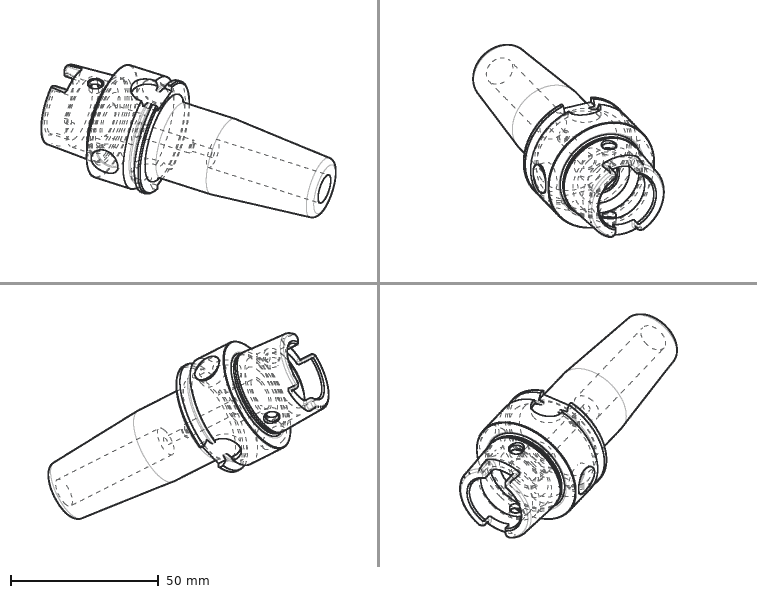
import cadquery as cq
import math

LENGTH = 99.9

TAPER_LENGTH = 17.9
TAPER_MOUTH_RADIUS = 14.2
TAPER_SLOPE = 0.05
TAPER_END_RADIUS = TAPER_MOUTH_RADIUS + TAPER_LENGTH * TAPER_SLOPE
MOUTH_FILLET = 0.8
NECK_RADIUS = 14.8
NECK_START = 18.8
NECK_END = 19.5
FACE_RELIEF_DEPTH = 0.1
FACE_RELIEF_INNER_RADIUS = 15.5
FACE_RELIEF_OUTER_RADIUS = 16.1

FLANGE_START = 20.0
FLANGE_END = 40.0
FLANGE_RADIUS = 20.0
FLANGE_FRONT_CHAMFER = 0.2
FLANGE_REAR_CHAMFER = 0.5
GROOVE_START = 33.9
GROOVE_FLOOR_START = 35.0
GROOVE_FLOOR_END = 36.6
GROOVE_END = 38.1
GROOVE_RADIUS = 17.3
GROOVE_FILLET = 0.5

NOSE_RADIUS = 13.5
NOSE_BLEND_LENGTH = 3.0
NOSE_BLEND_RADIUS = 3.2
NOSE_TAPER_START = 61.8
NOSE_TAPER_ANGLE = 4.5
NOSE_END_RADIUS = NOSE_RADIUS - (LENGTH - NOSE_TAPER_START) * math.tan(math.radians(NOSE_TAPER_ANGLE))
NOSE_END_FILLET = 2.0

CAVITY_MOUTH_RADIUS = 10.4
CAVITY_MOUTH_CHAMFER = 0.6
CAVITY_FLOOR_RADIUS = 9.8
CAVITY_DEPTH = 18.5
UNDERCUT_RADIUS = 12.5
UNDERCUT_START = 7.8
UNDERCUT_FULL = 9.0
UNDERCUT_END = 16.5

TUBE_BORE_RADIUS = 5.5
TUBE_BORE_CHAMFER = 0.5
TUBE_BORE_END = 30.0
SCREW_BORE_RADIUS = 2.3
SCREW_BORE_CHAMFER = 0.4
SCREW_BORE_END = 49.95
COOLANT_HOLE_RADIUS = 1.4
COOLANT_HOLE_CHAMFER = 0.3
TOOL_BORE_RADIUS = 5.0
TOOL_BORE_START = 57.9

DRIVE_SLOT_WIDTH = 8.0
DRIVE_SLOT_SHOULDER = 12.8
DRIVE_SLOT_CORNER = 1.6
DRIVE_SLOT_END_FILLET = 0.7
UPPER_SLOT_DEPTH = 6.0
LOWER_SLOT_DEPTH = 3.3

ACCESS_HOLE_X = 13.9
ACCESS_HOLE_RADIUS = 2.3
ACCESS_HOLE_CHAMFER = 0.5

CHIP_X = 26.9
CHIP_RADIUS = 5.0
CHIP_DEPTH = 4.2
CHIP_FLOOR_FILLET = 0.3

KEYWAY_START = 27.9
KEYWAY_WIDTH = 11.3
KEYWAY_FLOOR = 17.0

CUT_MARGIN = 1.0
EDGE_TOLERANCE = 0.01


def cylinder_x(radius, start, end):
    return cq.Workplane("YZ", origin=(start, 0, 0)).circle(radius).extrude(end - start)


def cone(start_radius, end_radius, height, base, direction):
    solid = cq.Solid.makeCone(start_radius, end_radius, height, cq.Vector(*base), cq.Vector(*direction))
    return cq.Workplane(obj=solid)


def revolve_about_x(profile):
    return profile.close().revolve(360, (0, 0, 0), (1, 0, 0))


def circles_at(body, x, radius):
    """Full circles on the axis with the given position and radius."""
    return body.edges("%CIRCLE").filter(
        lambda edge: abs(edge.Center().x - x) < EDGE_TOLERANCE and abs(edge.radius() - radius) < EDGE_TOLERANCE
    )


def make_turned_body():
    """Solid of revolution with the taper shank, the grooved flange and the shrink nose."""
    blend_center_radius = NOSE_RADIUS + NOSE_BLEND_RADIUS
    blend_angle = math.asin(NOSE_BLEND_LENGTH / NOSE_BLEND_RADIUS)
    blend_end = FLANGE_END + NOSE_BLEND_LENGTH

    def blend_point(angle):
        return (
            blend_end - NOSE_BLEND_RADIUS * math.sin(angle),
            blend_center_radius - NOSE_BLEND_RADIUS * math.cos(angle),
        )

    body = revolve_about_x(
        cq.Workplane("XZ")
        .lineTo(0, TAPER_MOUTH_RADIUS)
        .lineTo(TAPER_LENGTH, TAPER_END_RADIUS)
        .lineTo(NECK_START, NECK_RADIUS)
        .lineTo(NECK_END, NECK_RADIUS)
        .lineTo(FLANGE_START + FACE_RELIEF_DEPTH, FACE_RELIEF_INNER_RADIUS)
        .lineTo(FLANGE_START, FACE_RELIEF_OUTER_RADIUS)
        .lineTo(FLANGE_START, FLANGE_RADIUS - FLANGE_FRONT_CHAMFER)
        .lineTo(FLANGE_START + FLANGE_FRONT_CHAMFER, FLANGE_RADIUS)
        .lineTo(GROOVE_START, FLANGE_RADIUS)
        .lineTo(GROOVE_FLOOR_START, GROOVE_RADIUS)
        .lineTo(GROOVE_FLOOR_END, GROOVE_RADIUS)
        .lineTo(GROOVE_END, FLANGE_RADIUS)
        .lineTo(FLANGE_END, FLANGE_RADIUS)
        .lineTo(*blend_point(blend_angle))
        .threePointArc(blend_point(blend_angle / 2), blend_point(0))
        .lineTo(NOSE_TAPER_START, NOSE_RADIUS)
        .lineTo(LENGTH, NOSE_END_RADIUS)
        .lineTo(LENGTH, 0)
    )
    body = circles_at(body, GROOVE_FLOOR_START, GROOVE_RADIUS).fillet(GROOVE_FILLET)
    body = circles_at(body, GROOVE_FLOOR_END, GROOVE_RADIUS).fillet(GROOVE_FILLET)
    body = circles_at(body, FLANGE_END, FLANGE_RADIUS).chamfer(FLANGE_REAR_CHAMFER)
    return circles_at(body, LENGTH, NOSE_END_RADIUS).fillet(NOSE_END_FILLET)


def drive_slot_cutter(depth):
    """Slot above the axis with rounded upper corners and flat shoulders up to the wall at x = depth."""
    half_width = DRIVE_SLOT_WIDTH / 2
    shoulder_y = half_width + DRIVE_SLOT_CORNER
    wall_top = DRIVE_SLOT_SHOULDER - DRIVE_SLOT_CORNER
    arc_offset = DRIVE_SLOT_CORNER * math.sqrt(0.5)
    arc_y = shoulder_y - arc_offset
    arc_z = wall_top + arc_offset
    reach = TAPER_END_RADIUS + CUT_MARGIN
    cutter = (
        cq.Workplane("YZ")
        .moveTo(-half_width, 0)
        .lineTo(-half_width, wall_top)
        .threePointArc((-arc_y, arc_z), (-shoulder_y, DRIVE_SLOT_SHOULDER))
        .lineTo(-reach, DRIVE_SLOT_SHOULDER)
        .lineTo(-reach, reach)
        .lineTo(reach, reach)
        .lineTo(reach, DRIVE_SLOT_SHOULDER)
        .lineTo(shoulder_y, DRIVE_SLOT_SHOULDER)
        .threePointArc((arc_y, arc_z), (half_width, wall_top))
        .lineTo(half_width, 0)
        .close()
        .extrude(depth)
    )

    def borders_slot_wall(edge):
        center = edge.Center()
        is_inside = abs(center.y) < reach - EDGE_TOLERANCE
        return is_inside and EDGE_TOLERANCE < center.z < DRIVE_SLOT_SHOULDER + EDGE_TOLERANCE

    return cutter.faces(">X").edges().filter(borders_slot_wall).fillet(DRIVE_SLOT_END_FILLET)


def cut_mouth_and_drive_slots(body):
    """Open the mouth bore and both slots, then round the outer edges of the two mouth lips."""
    body = body.cut(cylinder_x(CAVITY_MOUTH_RADIUS, 0, UNDERCUT_START))
    body = body.cut(drive_slot_cutter(UPPER_SLOT_DEPTH))
    body = body.cut(drive_slot_cutter(LOWER_SLOT_DEPTH).rotate((0, 0, 0), (1, 0, 0), 180))

    def is_outer(edge):
        return edge.geomType() != "CIRCLE" or abs(edge.radius() - CAVITY_MOUTH_RADIUS) > EDGE_TOLERANCE

    return body.faces("<X").edges().filter(is_outer).fillet(MOUTH_FILLET)


def cut_cavity(body):
    """Chamfered mouth and undercut, turned as one cutter."""
    cutter = revolve_about_x(
        cq.Workplane("XZ")
        .lineTo(0, CAVITY_MOUTH_RADIUS + CAVITY_MOUTH_CHAMFER)
        .lineTo(CAVITY_MOUTH_CHAMFER, CAVITY_MOUTH_RADIUS)
        .lineTo(UNDERCUT_START, CAVITY_MOUTH_RADIUS)
        .lineTo(UNDERCUT_FULL, UNDERCUT_RADIUS)
        .lineTo(UNDERCUT_END, UNDERCUT_RADIUS)
        .lineTo(CAVITY_DEPTH, CAVITY_FLOOR_RADIUS)
        .lineTo(CAVITY_DEPTH, 0)
    )
    return body.cut(cutter)


def cut_chamfered_bore(body, radius, chamfer, start, end):
    body = body.cut(cylinder_x(radius, start, end))
    return body.cut(cone(radius + chamfer, radius, chamfer, (start, 0, 0), (1, 0, 0)))


def cut_axial_bores(body):
    """Coolant tube bore, screw bore, coolant hole and tool bore, one behind the other."""
    body = cut_chamfered_bore(body, TUBE_BORE_RADIUS, TUBE_BORE_CHAMFER, CAVITY_DEPTH, TUBE_BORE_END)
    body = cut_chamfered_bore(body, SCREW_BORE_RADIUS, SCREW_BORE_CHAMFER, TUBE_BORE_END, SCREW_BORE_END)
    body = cut_chamfered_bore(body, COOLANT_HOLE_RADIUS, COOLANT_HOLE_CHAMFER, SCREW_BORE_END, TOOL_BORE_START)
    return body.cut(cylinder_x(TOOL_BORE_RADIUS, TOOL_BORE_START, LENGTH))


def cut_access_holes(body):
    """One hole through both shank walls, with each outer rim chamfered at 45 degrees."""
    surface = TAPER_MOUTH_RADIUS + ACCESS_HOLE_X * TAPER_SLOPE
    chamfer_height = 2 * ACCESS_HOLE_CHAMFER
    hole = cq.Workplane("XY").center(ACCESS_HOLE_X, 0).circle(ACCESS_HOLE_RADIUS)
    body = body.cut(hole.extrude(surface + CUT_MARGIN, both=True))
    for side in (1, -1):
        base = (ACCESS_HOLE_X, 0, side * (surface - ACCESS_HOLE_CHAMFER))
        rim = cone(ACCESS_HOLE_RADIUS, ACCESS_HOLE_RADIUS + chamfer_height, chamfer_height, base, (0, 0, side))
        body = body.cut(rim)
    return body


def make_chip():
    """Flat-topped chip that fills its pocket at +Y."""
    disc = cq.Workplane("XZ", origin=(CHIP_X, FLANGE_RADIUS, 0)).circle(CHIP_RADIUS).extrude(CHIP_DEPTH)
    return disc.faces("<Y").edges().fillet(CHIP_FLOOR_FILLET)


def cut_keyways(body):
    """Round-ended keyways that run out through the rear of the flange."""
    end_radius = KEYWAY_WIDTH / 2
    run_out = FLANGE_END + CUT_MARGIN
    keyway = (
        cq.Workplane("XY", origin=(0, 0, KEYWAY_FLOOR))
        .moveTo(run_out, end_radius)
        .lineTo(KEYWAY_START + end_radius, end_radius)
        .threePointArc((KEYWAY_START, 0), (KEYWAY_START + end_radius, -end_radius))
        .lineTo(run_out, -end_radius)
        .close()
        .extrude(FLANGE_RADIUS - KEYWAY_FLOOR + CUT_MARGIN)
    )
    return body.cut(keyway).cut(keyway.mirror("XY"))


def make_holder():
    body = make_turned_body()
    body = cut_mouth_and_drive_slots(body)
    body = cut_cavity(body)
    body = cut_axial_bores(body)
    body = cut_access_holes(body)
    body = cut_keyways(body)
    return body.cut(make_chip()).cut(make_chip().mirror("XZ"))


holder = make_holder()
chip = make_chip()

result = cq.Compound.makeCompound([holder.val(), chip.val()])